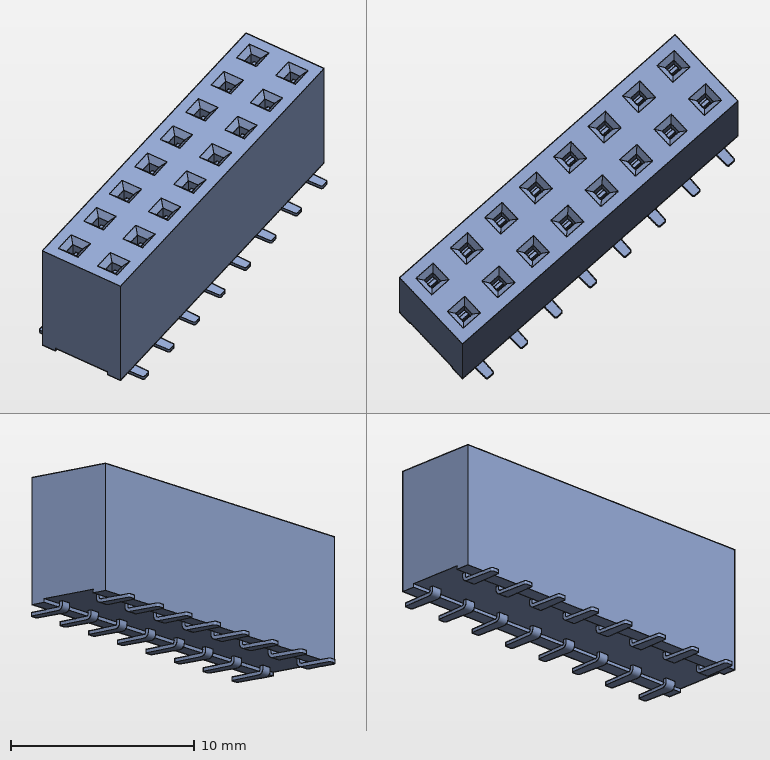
import cadquery as cq

pitch = 2.55
row_count = 8
column_count = 2
housing_length = row_count * pitch
housing_width = column_count * pitch
total_height = 7.45
housing_bottom = 0.3

recess_depth = 0.2
foot_width = 0.85

mouth_size = pitch / 2
well_size = 0.63
mouth_depth = (mouth_size - well_size) / 2
well_depth = 0.81

blade_width = 0.53
blade_height = 0.4

lead_span = 6.8
lead_thickness = 0.2
leg_width = 0.65
tip_width = 0.53
tip_corner_radius = 0.1
leg_embedment = 0.2
bend_inner_radius = 0.1
bend_outer_radius = bend_inner_radius + lead_thickness

recess_top = housing_bottom + recess_depth
well_floor = total_height - mouth_depth - well_depth
leg_center = pitch / 2
leg_inner = leg_center - lead_thickness / 2
bend_end = leg_inner + bend_outer_radius
leg_top = recess_top + leg_embedment
lead_tip = lead_span / 2

row_positions = [(row - (row_count - 1) / 2) * pitch for row in range(row_count)]
column_positions = [-leg_center, leg_center]


def box_on(z_bottom, size_x, size_y, height, center=(0, 0)):
    """Upright box standing on the given height."""
    return (
        cq.Workplane("XY", origin=(*center, z_bottom))
        .rect(size_x, size_y)
        .extrude(height)
    )


def make_housing():
    """Block with the recess running the full length of its underside."""
    block = box_on(housing_bottom, housing_width, housing_length, total_height - housing_bottom)
    recess_width = housing_width - 2 * foot_width
    return block.cut(box_on(housing_bottom, recess_width, housing_length, recess_depth))


def make_socket(x, y):
    """Funnel and square well, minus the contact blade standing on the well floor."""
    mouth = (
        cq.Workplane("XY", origin=(x, y, total_height))
        .rect(mouth_size, mouth_size)
        .workplane(offset=-mouth_depth)
        .rect(well_size, well_size)
        .loft(ruled=True)
    )
    well = box_on(well_floor, well_size, well_size, well_depth, (x, y))
    blade = box_on(well_floor, lead_thickness, blade_width, blade_height, (x, y))
    return mouth.union(well).cut(blade)


def make_right_lead():
    """Leg and tail of a contact on the +X side, centred on Y = 0."""
    profile = (
        cq.Workplane("XZ", origin=(0, leg_width / 2, 0))
        .moveTo(leg_inner, leg_top)
        .lineTo(leg_inner, bend_outer_radius)
        .radiusArc((bend_end, 0), -bend_outer_radius)
        .lineTo(lead_tip, 0)
        .lineTo(lead_tip, lead_thickness)
        .lineTo(bend_end, lead_thickness)
        .radiusArc((leg_inner + lead_thickness, bend_outer_radius), bend_inner_radius)
        .lineTo(leg_inner + lead_thickness, leg_top)
        .close()
        .extrude(leg_width)
    )
    half_leg = leg_width / 2
    half_tip = tip_width / 2
    plan = (
        cq.Workplane("XY")
        .polyline([
            (leg_inner, -half_leg),
            (bend_end, -half_leg),
            (lead_tip, -half_tip),
            (lead_tip, half_tip),
            (bend_end, half_leg),
            (leg_inner, half_leg),
        ])
        .close()
        .extrude(leg_top)
        .edges("|Z and >X")
        .fillet(tip_corner_radius)
    )
    return profile.intersect(plan)


result = make_housing()
right_lead = make_right_lead()
left_lead = right_lead.mirror("YZ")
for y in row_positions:
    for x in column_positions:
        result = result.cut(make_socket(x, y))
    result = result.union(right_lead.translate((0, y, 0)))
    result = result.union(left_lead.translate((0, y, 0)))